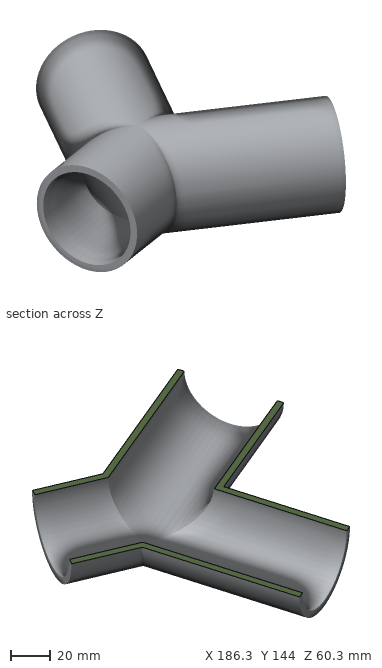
import cadquery as cq

OUTER_DIAMETER = 60.33
INNER_DIAMETER = 52.5

INLET_LENGTH = 50.8
BRANCH_LENGTH = 101.6

BRANCH_ANGLE = 45.0


def rod(diameter, length, angle_from_y):
    """Solid cylinder from the origin, in the XY plane, turned from +Y about Z."""
    along_y = cq.Workplane("XZ").circle(diameter / 2).extrude(-length)
    return along_y.rotate((0, 0, 0), (0, 0, 1), angle_from_y)


def wye(diameter):
    """Three equal rods meeting at the origin: the inlet toward -Y and two branches."""
    body = rod(diameter, INLET_LENGTH, 180.0)
    for angle in (BRANCH_ANGLE, -BRANCH_ANGLE):
        body = body.union(rod(diameter, BRANCH_LENGTH, angle))
    return body


result = wye(OUTER_DIAMETER).cut(wye(INNER_DIAMETER))